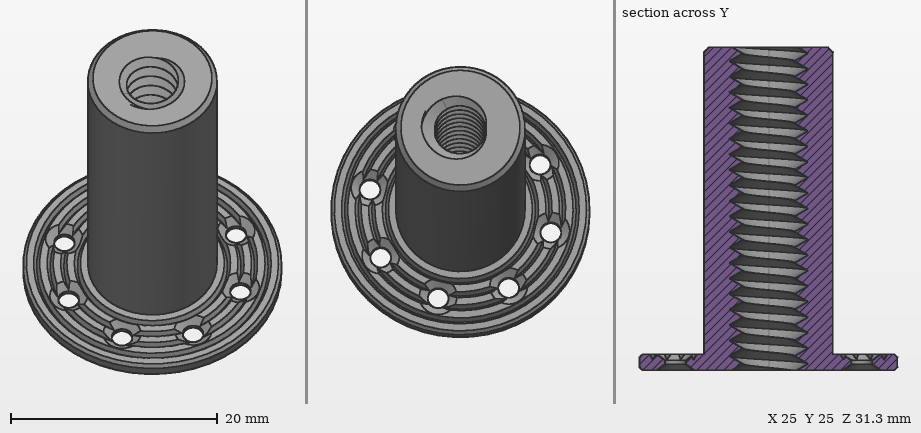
import cadquery as cq
import math

total_height = 31.25
flange_diameter = 25.0
flange_thickness = 1.55
flange_chamfer = 0.3
post_diameter = 12.5
post_chamfer = 0.5

bore_diameter = 5.0
thread_pitch = 1.5
thread_crest_width = 0.03
thread_half_angle = 30.0
thread_start_angle = -90.0
thread_crest_angle = 148.0
thread_overlap = 0.015
bore_overrun = 6.25

hole_count = 8
hole_diameter = 2.0
hole_circle_diameter = 18.0
countersink_diameter = 3.62
countersink_depth = 0.6

groove_count = 4
first_groove_radius = 7.25
groove_spacing = 1.3
groove_width = 0.6
groove_half_angle = 30.0
groove_depth = groove_width / 2 / math.tan(math.radians(groove_half_angle))


def make_body():
    flange = cq.Workplane("XY").circle(flange_diameter / 2).extrude(flange_thickness)
    flange = flange.edges().chamfer(flange_chamfer)
    post = cq.Workplane("XY").circle(post_diameter / 2).extrude(total_height)
    post = post.faces(">Z").edges().chamfer(post_chamfer)
    return flange.union(post)


def make_groove_cutter(radius):
    profile = cq.Workplane("XZ").polyline([
        (radius - groove_width / 2, flange_thickness),
        (radius, flange_thickness - groove_depth),
        (radius + groove_width / 2, flange_thickness),
    ]).close()
    return profile.revolve(360, (0, 0, 0), (0, 1, 0))


def make_threaded_bore_cutter():
    """Bore cylinder joined to a V-shaped helix, both running past the two ends of the part."""
    slope = math.tan(math.radians(thread_half_angle))
    bore_radius = bore_diameter / 2
    half_opening = (thread_pitch - thread_crest_width) / 2
    root_radius = bore_radius + half_opening / slope
    inner_radius = bore_radius - thread_overlap
    inner_half_opening = half_opening + thread_overlap * slope
    turns = math.ceil(total_height / thread_pitch) + 2
    single_turn = cq.Wire.makeHelix(thread_pitch, thread_pitch, bore_radius).Edges()[0]
    helix = cq.Wire.assembleEdges([
        single_turn.moved(cq.Location(cq.Vector(0, 0, turn * thread_pitch)))
        for turn in range(turns)
    ])
    profile = cq.Workplane("XZ").polyline([
        (inner_radius, -inner_half_opening),
        (root_radius, 0),
        (inner_radius, inner_half_opening),
    ]).close()
    cutter = profile.sweep(helix, isFrenet=True)
    cutter = cutter.rotate((0, 0, 0), (0, 0, 1), thread_start_angle)
    root_angle = thread_crest_angle - 180.0
    lift = thread_pitch * (root_angle - thread_start_angle) / 360.0
    cutter = cutter.translate((0, 0, total_height - lift - (turns - 1) * thread_pitch))
    bore_length = total_height + 2 * bore_overrun
    bore = cq.Workplane("XY", origin=(0, 0, -bore_overrun)).circle(bore_radius).extrude(bore_length)
    return cutter.union(bore)


def make_screw_hole_cutters():
    """Holes through the flange with a matching countersink on each of its faces."""
    throat_radius = hole_diameter / 2
    mouth_radius = countersink_diameter / 2
    profile = cq.Workplane("XZ").polyline([
        (0, 0),
        (mouth_radius, 0),
        (throat_radius, countersink_depth),
        (throat_radius, flange_thickness - countersink_depth),
        (mouth_radius, flange_thickness),
        (0, flange_thickness),
    ]).close()
    cutter = profile.revolve(360, (0, 0, 0), (0, 1, 0)).val()
    centers = cq.Workplane("XY").polarArray(hole_circle_diameter / 2, 0, 360, hole_count)
    return centers.eachpoint(lambda place: cutter.moved(place), combine="a")


body = make_body()
for index in range(groove_count):
    body = body.cut(make_groove_cutter(first_groove_radius + index * groove_spacing))
body = body.cut(make_screw_hole_cutters())
body = body.cut(make_threaded_bore_cutter())

result = body